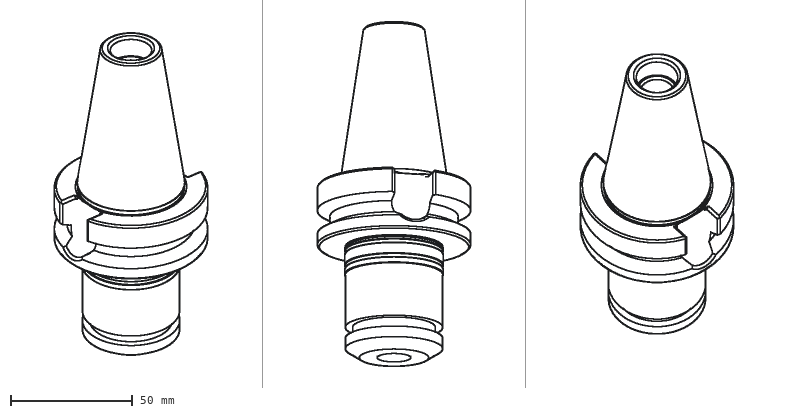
import cadquery as cq
import math

total_height = 139.4
nose_chamfer_top = 3.8
nut_top = 8.2
neck_top = 12.8
flange_bottom = 47.0
flange_rim_top = 52.4
groove_bottom = 55.0
groove_top = 59.8
collar_bottom = 62.3
collar_top = 72.8
taper_start = 74.5

nose_radius = 14.2
body_radius = 40.0 / 2
neck_radius = 34.0 / 2
flange_radius = 63.0 / 2
groove_radius = 26.3
relief_radius = 43.9 / 2
face_groove_radius = 22.9
face_groove_depth = 0.3
taper_base_radius = 22.2
taper_top_radius = 12.7
tip_face_radius = 11.8
rim_chamfer = 0.8
collar_chamfer = 0.8

band_radius = 40.5 / 2
bands = [(35.1, 37.6), (39.0, 43.8), (45.2, 46.4)]
band_chamfer = 0.21

bore_radius = 13.8 / 2
socket_radius = 17.0 / 2
socket_depth = 9.0
socket_chamfer = 1.1
bore_mouth_chamfer = 1.0

slot_half_width = 8.1
slot_floor = 22.5
slot_arc_height = 59.1
slot_edge_chamfer = 1.1
slot_floor_fillet = 0.8
length_tolerance = 0.07


def make_body():
    """Revolve the outer profile about Z."""
    tip_chamfer = taper_top_radius - tip_face_radius
    profile = [
        (0, 0),
        (nose_radius, 0),
        (body_radius, nose_chamfer_top),
        (body_radius, nut_top),
        (neck_radius, nut_top),
        (neck_radius, neck_top),
        (body_radius, neck_top),
        (body_radius, flange_bottom),
        (flange_radius - rim_chamfer, flange_bottom),
        (flange_radius, flange_bottom + rim_chamfer),
        (flange_radius, flange_rim_top),
        (groove_radius, groove_bottom),
        (groove_radius, groove_top),
        (flange_radius, collar_bottom),
        (flange_radius, collar_top - collar_chamfer),
        (flange_radius - collar_chamfer, collar_top),
        (face_groove_radius, collar_top),
        (face_groove_radius, collar_top - face_groove_depth),
        (relief_radius, collar_top - face_groove_depth),
        (relief_radius, taper_start),
        (taper_base_radius, taper_start),
        (taper_top_radius, total_height - tip_chamfer),
        (tip_face_radius, total_height),
        (0, total_height),
    ]
    return cq.Workplane("XZ").polyline(profile).close().revolve(360, (0, 0), (0, 1))


def make_band(bottom, top):
    """Disc with lightly chamfered rims."""
    disc = cq.Workplane("XY").workplane(offset=bottom).circle(band_radius).extrude(top - bottom)
    return disc.edges().chamfer(band_chamfer)


def make_bore():
    """Through bore, chamfered at its mouth, under a chamfered socket at the taper tip."""
    profile = [
        (0, 0),
        (bore_radius, 0),
        (bore_radius, total_height - socket_depth - bore_mouth_chamfer),
        (bore_radius + bore_mouth_chamfer, total_height - socket_depth),
        (socket_radius, total_height - socket_depth),
        (socket_radius, total_height - socket_chamfer),
        (socket_radius + socket_chamfer, total_height),
        (0, total_height),
    ]
    return cq.Workplane("XZ").polyline(profile).close().revolve(360, (0, 0), (0, 1))


def make_slot():
    """Round-ended drive slot on the -Y side, open at the collar top."""
    return (
        cq.Workplane("XZ", origin=(0, -slot_floor, 0))
        .moveTo(-slot_half_width, collar_top)
        .lineTo(-slot_half_width, slot_arc_height)
        .threePointArc(
            (0, slot_arc_height - slot_half_width),
            (slot_half_width, slot_arc_height),
        )
        .lineTo(slot_half_width, collar_top)
        .close()
        .extrude(flange_radius)
        .faces(">Y")
        .edges("not >Z")
        .fillet(slot_floor_fillet)
    )


def make_mouth_bevels():
    """Bevel cutters for the slot walls along the collar top and the collar side."""
    wide = slot_half_width + slot_edge_chamfer
    top_bevel = (
        cq.Workplane("XZ", origin=(0, -slot_floor, 0))
        .polyline([
            (-slot_half_width, collar_top - slot_edge_chamfer),
            (slot_half_width, collar_top - slot_edge_chamfer),
            (wide, collar_top),
            (-wide, collar_top),
        ])
        .close()
        .extrude(flange_radius)
    )
    side_outer = -math.sqrt(flange_radius**2 - wide**2)
    side_inner = side_outer + slot_edge_chamfer / 2
    side_bevel = (
        cq.Workplane("XY", origin=(0, 0, groove_top))
        .polyline([
            (-slot_half_width, side_inner),
            (slot_half_width, side_inner),
            (wide, side_outer),
            (wide, -flange_radius),
            (-wide, -flange_radius),
            (-wide, side_outer),
        ])
        .close()
        .extrude(collar_top - groove_top)
    )
    return top_bevel.union(side_bevel)


def is_flange_slot_edge(edge):
    """True for the edge where a slot end breaks through the flange rim."""
    middle = edge.positionAt(0.5)
    on_rim = abs(math.hypot(middle.x, middle.y) - flange_radius) < length_tolerance
    at_slot_end = abs(middle.z - slot_arc_height + slot_half_width) < length_tolerance
    return on_rim and at_slot_end and abs(middle.x) < length_tolerance


result = make_body()
for bottom, top in bands:
    result = result.union(make_band(bottom, top))
result = result.cut(make_bore())

slot = make_slot()
result = result.cut(slot).cut(slot.mirror("XZ"))
flange_slot_edges = [edge for edge in result.edges().vals() if is_flange_slot_edge(edge)]
result = result.newObject(flange_slot_edges).chamfer(slot_edge_chamfer)

bevels = make_mouth_bevels()
result = result.cut(bevels).cut(bevels.mirror("XZ"))